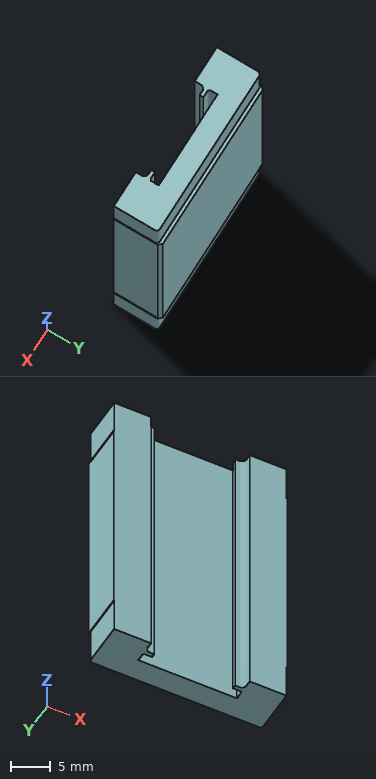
import cadquery as cq

width = 25.0
height = 41.0
depth = 7.1
end_length = 5.12
end_rear_step = 0.5
end_side_step = 0.1
middle_corner = 0.5
end_corner = 0.5

rail_width = 5.4
channel_depth = 3.4

lip_reach = 1.27
lip_front = 1.5
lip_thickness = 0.57
lip_front_fillet = 0.6
lip_rear_fillet = 0.3

middle_length = height - 2 * end_length
end_width = width - 2 * end_side_step
end_depth = depth - end_rear_step
channel_width = width - 2 * rail_width


def block(block_width, block_depth, length, bottom):
    """Upright block with its front face at y = 0."""
    return (
        cq.Workplane("XY", origin=(0, block_depth / 2, bottom))
        .box(block_width, block_depth, length, centered=(True, True, False))
    )


def lip():
    """Left lip, flared by concave fillets where it meets the channel wall."""
    wall = -channel_width / 2
    tip = wall + lip_reach
    lip_rear = lip_front + lip_thickness
    front_start = lip_front - lip_front_fillet
    rear_end = lip_rear + lip_rear_fillet
    root = wall - rail_width / 2
    return (
        cq.Workplane("XY")
        .moveTo(root, front_start)
        .lineTo(wall, front_start)
        .radiusArc((wall + lip_front_fillet, lip_front), lip_front_fillet)
        .lineTo(tip, lip_front)
        .lineTo(tip, lip_rear)
        .lineTo(wall + lip_rear_fillet, lip_rear)
        .radiusArc((wall, rear_end), lip_rear_fillet)
        .lineTo(root, rear_end)
        .close()
        .extrude(height)
    )


core = block(end_width, end_depth, height, 0).edges("|Z and >Y").fillet(end_corner)

middle = block(width, depth, middle_length, end_length).edges("|Z and >Y").chamfer(middle_corner)

channel = block(channel_width, channel_depth, height, 0)
left_lip = lip()
right_lip = left_lip.mirror("YZ")

result = core.union(middle).cut(channel).union(left_lip).union(right_lip)